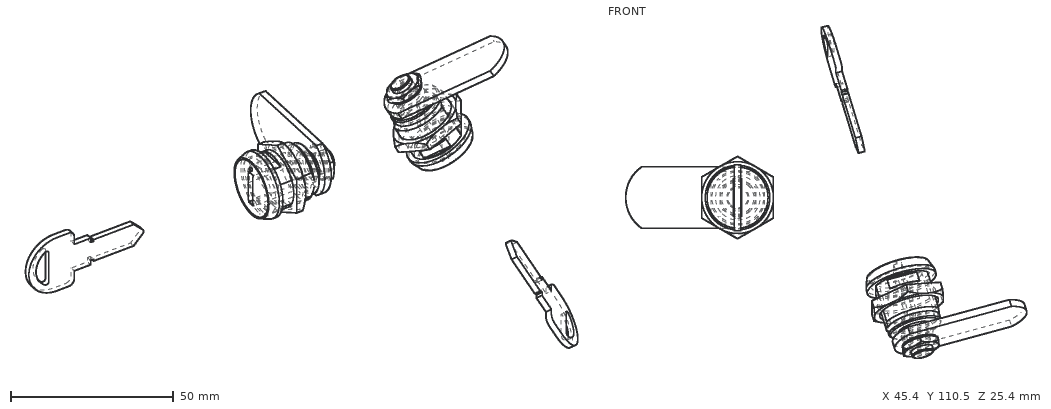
import cadquery as cq
import math


flange_radius = 11.0
flange_rim_length = 1.3
bezel_radius = 9.9
flange_length = 4.4
barrel_radius = 9.4
barrel_length = 15.2
flats_width = 16.6
rear_land_radius = 8.4
rear_land_length = 2.1
rear_land_chamfer = 0.4
barrel_cone_length = 1.0
groove_start = 0.3
groove_end = 3.3
groove_flats_height = 16.2
neck_radius = 5.0
neck_root_radius = 5.4
neck_cone_length = 1.0
neck_length = 2.1
housing_rear_wall = 2.2

head_radius = 9.4
head_length = 2.8
dome_height = 0.4
core_radius = 6.8
stud_radius = 3.4
stud_chamfer = 0.3
stud_end = 24.0
slot_width = 2.5
slot_height = 11.6
slot_depth = 15.5
mark_radius = 0.7
mark_height = 7.4

panel_nut_corner_width = 25.4
panel_nut_front = 5.0
panel_nut_length = 3.3
panel_nut_chamfer_radius = 11.1
panel_nut_chamfer_length = 1.0

cam_thickness = 2.3
cam_width = 19.0
cam_reach = 34.4
cam_heel = 8.0
cam_end_rise = 5.0
washer_radius = 5.4
washer_thickness = 0.5
cam_nut_corner_width = 12.8
cam_nut_length = 2.1
cam_nut_chamfer_radius = 5.5
cam_nut_chamfer_length = 0.4

key_tip = -44.5
key_length = 42.0
key_thickness = 2.0
blade_height = 8.2
blade_length = 18.3
blade_tip_radius = 1.1
neck_notch_height = 6.8
neck_notch_length = 1.0
shoulder_height = 10.2
shoulder_length = 6.0
bow_radius = 10.2
bow_corner_radius = 2.2
window_radius = 7.5
window_offset = 2.9
window_corner_radius = 0.9

flange_front = -flange_length
head_rear = flange_front + head_length
core_rear = barrel_length - housing_rear_wall
cam_front = barrel_length + neck_length
cam_rear = cam_front + cam_thickness
washer_rear = cam_rear + washer_thickness


def turned(outline):
    """Solid of revolution about the Y axis from (radius, y) points."""
    return cq.Workplane("XY").polyline(outline).close().revolve(360, (0, 0, 0), (0, 1, 0))


def section_at(y):
    """Workplane across the lock axis; positive extrusion runs toward +Y, local Y is -Z."""
    return cq.Workplane("ZX", origin=(0, y, 0)).transformed(rotate=(0, 0, 90))


def cylinder(radius, front, rear):
    return section_at(front).circle(radius).extrude(rear - front)


def make_housing():
    land_front = barrel_length - rear_land_length
    cone_front = land_front - barrel_cone_length
    barrel = turned([
        (0, 0),
        (barrel_radius, 0),
        (barrel_radius, cone_front),
        (rear_land_radius, land_front),
        (rear_land_radius, barrel_length - rear_land_chamfer),
        (rear_land_radius - rear_land_chamfer, barrel_length),
        (0, barrel_length),
    ])
    across_flats = section_at(0).rect(flats_width, 2 * barrel_radius).extrude(barrel_length)
    barrel = barrel.intersect(across_flats)

    groove_length = groove_end - groove_start
    groove_band = section_at(groove_start).rect(2 * barrel_radius, 2 * barrel_radius)
    groove_core = section_at(groove_start).rect(2 * barrel_radius, groove_flats_height)
    barrel = barrel.cut(groove_band.extrude(groove_length).cut(groove_core.extrude(groove_length)))

    flange = turned([
        (0, 0),
        (flange_radius, 0),
        (flange_radius, -flange_rim_length),
        (bezel_radius, flange_front),
        (0, flange_front),
    ])
    neck = turned([
        (0, barrel_length),
        (neck_root_radius, barrel_length),
        (neck_radius, barrel_length + neck_cone_length),
        (neck_radius, cam_front),
        (0, cam_front),
    ])
    body = barrel.union(flange).union(neck)
    body = body.cut(cylinder(head_radius, flange_front, head_rear))
    body = body.cut(cylinder(core_radius, head_rear, core_rear))
    return body.cut(cylinder(stud_radius, core_rear, cam_front))


def make_plug():
    dome_sphere_radius = (head_radius**2 + dome_height**2) / (2 * dome_height)
    dome_centre = flange_front - dome_height + dome_sphere_radius
    half_radius = head_radius / 2
    dome_middle = dome_centre - math.sqrt(dome_sphere_radius**2 - half_radius**2)
    body = (
        cq.Workplane("XY")
        .moveTo(0, flange_front - dome_height)
        .threePointArc((half_radius, dome_middle), (head_radius, flange_front))
        .lineTo(head_radius, head_rear)
        .lineTo(core_radius, head_rear)
        .lineTo(core_radius, core_rear)
        .lineTo(stud_radius, core_rear)
        .lineTo(stud_radius, stud_end - stud_chamfer)
        .lineTo(stud_radius - stud_chamfer, stud_end)
        .lineTo(0, stud_end)
        .close()
        .revolve(360, (0, 0, 0), (0, 1, 0))
    )
    mark = cq.Workplane("XY", origin=(0, flange_front, mark_height)).sphere(mark_radius)
    slot_front = flange_front - dome_height
    keyway = section_at(slot_front).rect(slot_width, slot_height).extrude(slot_depth)
    return body.union(mark).cut(keyway)


def make_hex_nut(corner_width, bore_radius, front, length, chamfer_radius, front_chamfer, rear_chamfer):
    """Hexagonal nut with two corners on the Z axis and coned corners at either end."""
    corner_radius = corner_width / 2
    rear = front + length
    hexagon = section_at(front).transformed(rotate=(0, 0, 90)).polygon(6, corner_width).extrude(length)
    outline = [(0, front)]
    if front_chamfer > 0:
        outline.append((chamfer_radius, front))
    outline.append((corner_radius, front + front_chamfer))
    outline.append((corner_radius, rear - rear_chamfer))
    outline.append((chamfer_radius, rear))
    outline.append((0, rear))
    return hexagon.intersect(turned(outline)).cut(cylinder(bore_radius, front, rear))


def make_cam():
    half_width = cam_width / 2
    plate = (
        section_at(cam_front)
        .moveTo(-cam_reach + cam_end_rise, -half_width)
        .lineTo(cam_heel - cam_end_rise, -half_width)
        .threePointArc((cam_heel, 0), (cam_heel - cam_end_rise, half_width))
        .lineTo(-cam_reach + cam_end_rise, half_width)
        .threePointArc((-cam_reach, 0), (-cam_reach + cam_end_rise, -half_width))
        .close()
        .extrude(cam_thickness)
    )
    return plate.cut(cylinder(stud_radius, cam_front, cam_rear))


def make_washer():
    return cylinder(washer_radius, cam_rear, washer_rear).cut(cylinder(stud_radius, cam_rear, washer_rear))


def make_key():
    blade_half = blade_height / 2
    notch_half = neck_notch_height / 2
    shoulder_half = shoulder_height / 2
    notch_front = key_tip - blade_length
    shoulder_start = notch_front - neck_notch_length
    bow_start = shoulder_start - shoulder_length
    bow_end = key_tip - key_length
    bow_centre = bow_end + bow_radius

    tip_centre = key_tip - blade_tip_radius
    tangent_rise = blade_tip_radius * math.sin(math.radians(45))
    wedge_start = tip_centre + tangent_rise - (blade_half - tangent_rise)

    plane = cq.Workplane("YZ", origin=(-key_thickness / 2, 0, 0))
    blade = (
        plane
        .moveTo(tip_centre + tangent_rise, -tangent_rise)
        .threePointArc((key_tip, 0), (tip_centre + tangent_rise, tangent_rise))
        .lineTo(wedge_start, blade_half)
        .lineTo(notch_front, blade_half)
        .lineTo(notch_front, notch_half)
        .lineTo(shoulder_start, notch_half)
        .lineTo(shoulder_start, shoulder_half)
        .lineTo(bow_start, shoulder_half)
        .lineTo(bow_start, -shoulder_half)
        .lineTo(shoulder_start, -shoulder_half)
        .lineTo(shoulder_start, -notch_half)
        .lineTo(notch_front, -notch_half)
        .lineTo(notch_front, -blade_half)
        .lineTo(wedge_start, -blade_half)
        .close()
        .extrude(key_thickness)
    )
    bow = (
        plane
        .moveTo(bow_start, -bow_radius)
        .lineTo(bow_start, bow_radius)
        .lineTo(bow_centre, bow_radius)
        .threePointArc((bow_end, 0), (bow_centre, -bow_radius))
        .close()
        .extrude(key_thickness)
        .edges("|X and >Y")
        .fillet(bow_corner_radius)
    )
    window_flat = bow_centre - window_offset
    window_half = math.sqrt(window_radius**2 - window_offset**2)
    window = (
        plane
        .moveTo(window_flat, -window_half)
        .lineTo(window_flat, window_half)
        .threePointArc((bow_centre - window_radius, 0), (window_flat, -window_half))
        .close()
        .extrude(key_thickness)
        .edges("|X")
        .fillet(window_corner_radius)
    )
    return blade.union(bow).cut(window)


housing = make_housing()
plug = make_plug()
panel_nut = make_hex_nut(
    panel_nut_corner_width, barrel_radius, panel_nut_front, panel_nut_length,
    panel_nut_chamfer_radius, 0, panel_nut_chamfer_length,
)
cam = make_cam()
washer = make_washer()
cam_nut = make_hex_nut(
    cam_nut_corner_width, stud_radius, washer_rear, cam_nut_length,
    cam_nut_chamfer_radius, cam_nut_chamfer_length, cam_nut_chamfer_length,
)
key = make_key()

result = cq.Compound.makeCompound([
    housing.solids().val(),
    plug.solids().val(),
    panel_nut.solids().val(),
    cam.solids().val(),
    washer.solids().val(),
    cam_nut.solids().val(),
    key.solids().val(),
])